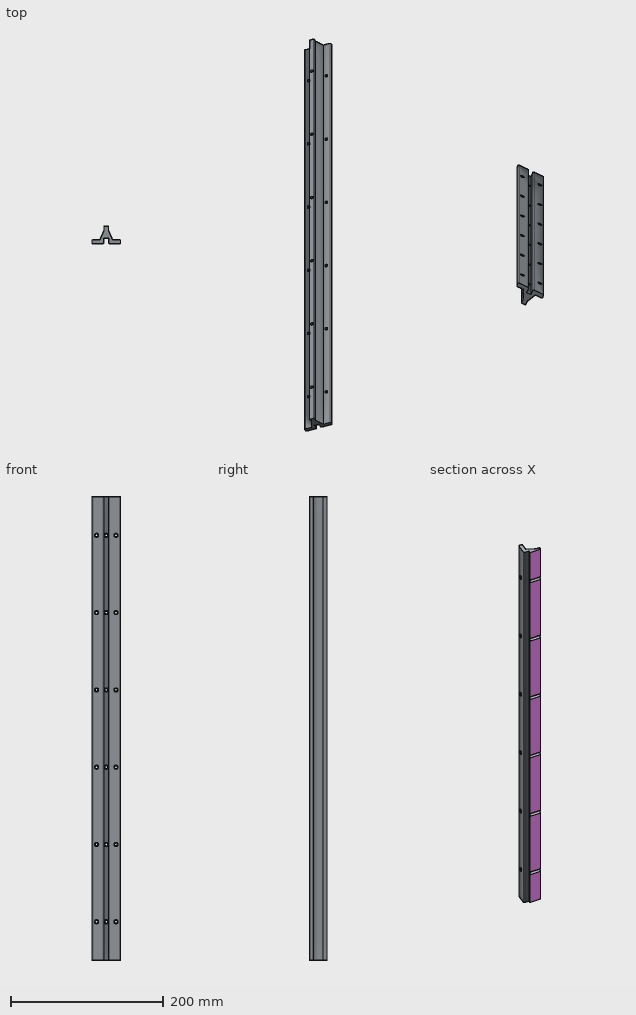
import cadquery as cq

length = 609.5
width = 38.0
depth = 23.0

flange_thickness = 5.5
web_width = 6.0
foot_width = 17.0
web_length = 5.5
slot_width = 6.0
slot_depth = 7.5
edge_radius = 1.5

hole_diameter = 3.5
sink_diameter = 5.5
sink_depth = (sink_diameter - hole_diameter) / 2
hole_offset = 13.0
hole_rows = 6
row_pitch = length / hole_rows

front = -depth / 2
back = depth / 2
bottom = -length / 2
flange_back = front + flange_thickness
slot_floor = front + slot_depth


def make_rail():
    """T-shaped rail with sloping shoulders and a groove in its front face."""
    right_half = [
        (slot_width / 2, front),
        (width / 2, front),
        (width / 2, flange_back),
        (foot_width / 2, flange_back),
        (web_width / 2, back - web_length),
        (web_width / 2, back),
        (0, back),
        (0, slot_floor),
        (slot_width / 2, slot_floor),
    ]
    half = cq.Workplane("XY", origin=(0, 0, bottom)).polyline(right_half).close().extrude(length)
    half = half.edges("|Z and >X").fillet(edge_radius)
    half = half.faces("<Y").edges("|Z and <X").fillet(edge_radius)
    return half.union(half.mirror("YZ")).clean()


def countersunk_hole(x, z, face_y):
    """Cutter through the rail along Y, countersunk where it enters the face at face_y."""
    entry = cq.Workplane("XZ", origin=(x, face_y, z))
    bore = entry.circle(hole_diameter / 2).extrude(-depth)
    sink = cq.Solid.makeCone(
        sink_diameter / 2,
        hole_diameter / 2,
        sink_depth,
        pnt=cq.Vector(x, face_y, z),
        dir=cq.Vector(0, 1, 0),
    )
    return bore.union(cq.Workplane(sink))


result = make_rail()
for row in range(hole_rows):
    row_z = bottom + (row + 0.5) * row_pitch
    result = result.cut(countersunk_hole(-hole_offset, row_z, front))
    result = result.cut(countersunk_hole(0, row_z, slot_floor))
    result = result.cut(countersunk_hole(hole_offset, row_z, front))